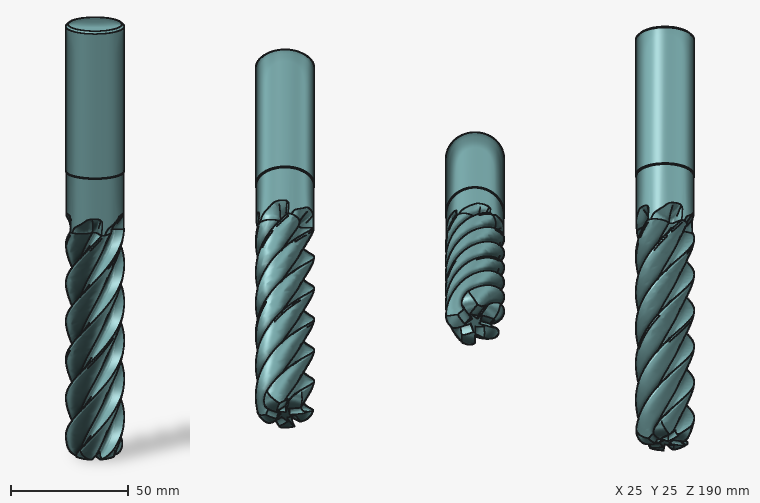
import cadquery as cq
import math

total_length = 190.0
cutting_diameter = 25.0
shank_diameter = 25.0
neck_diameter = 24.5
cutting_length = 100.0
neck_top_z = 125.0
neck_shoulder_height = 0.5
top_chamfer = 1.0
corner_radius = 6.0

tooth_count = 5
helix_angle = 43.0
first_edge_angle = 36.0
runout_length = 7.5
runout_lift = 5.8
runout_twist = 4.0
runout_section_count = 4

margin_end_radius = 12.3
margin_end_angle = 6.0
back_mid_radius = 10.6
back_mid_angle = 25.5
root_start_radius = 7.0
root_start_angle = 50.0
root_mid_radius = 6.95
root_mid_angle = 58.0
rake_start_radius = 8.7
rake_start_angle = 67.0

gash_depth = 3.5
gash_width = 4.0
gash_inner_radius = 2.0

cutting_radius = cutting_diameter / 2
shank_radius = shank_diameter / 2
neck_radius = neck_diameter / 2
pitch_angle = 360.0 / tooth_count
flute_lead = math.pi * cutting_diameter / math.tan(math.radians(helix_angle))
cutting_twist = 360.0 * cutting_length / flute_lead


def polar(radius, angle):
    """Point at a radius and an angle in degrees."""
    return (radius * math.cos(math.radians(angle)), radius * math.sin(math.radians(angle)))


def add_tooth_section(work, start_angle, lift=0.0):
    """Closed outline of all teeth; lift makes the flutes shallower, up to the cutting radius."""

    def point(radius, angle):
        return polar(min(radius + lift, cutting_radius), angle)

    work = work.moveTo(*point(cutting_radius, start_angle))
    for tooth in range(tooth_count):
        edge = start_angle + tooth * pitch_angle
        work = (
            work.lineTo(*point(margin_end_radius, edge + margin_end_angle))
            .threePointArc(
                point(back_mid_radius, edge + back_mid_angle),
                point(root_start_radius, edge + root_start_angle),
            )
            .threePointArc(
                point(root_mid_radius, edge + root_mid_angle),
                point(rake_start_radius, edge + rake_start_angle),
            )
            .lineTo(*point(cutting_radius, edge + pitch_angle))
        )
    return work.close()


def revolve_about_z(profile):
    return profile.close().revolve(360, (0, 0), (0, 1))


def make_gash(edge_angle):
    """Wedge with its upright face along the radial cutting edge."""
    return (
        cq.Workplane("YZ", origin=(gash_inner_radius, 0, 0))
        .lineTo(0, gash_depth)
        .lineTo(-gash_width, 0)
        .close()
        .extrude(cutting_radius - gash_inner_radius)
        .rotate((0, 0, 0), (0, 0, 1), edge_angle)
    )


def make_cutter():
    """Fluted cutting part with rounded corners and end gashes."""
    envelope = revolve_about_z(
        cq.Workplane("YZ")
        .lineTo(-(cutting_radius - corner_radius), 0)
        .radiusArc((-cutting_radius, corner_radius), corner_radius)
        .lineTo(-cutting_radius, cutting_length)
        .lineTo(0, cutting_length)
    )
    teeth = add_tooth_section(cq.Workplane("XY"), first_edge_angle)
    cutter = teeth.twistExtrude(cutting_length, cutting_twist).intersect(envelope)
    for tooth in range(tooth_count):
        cutter = cutter.cut(make_gash(first_edge_angle + tooth * pitch_angle))
    return cutter


def make_runout_core():
    """Slightly twisted bar whose flutes get shallower along a parabola until they fade out."""
    section_gap = runout_length / (runout_section_count - 1)
    work = cq.Workplane("XY", origin=(0, 0, cutting_length))
    for index in range(runout_section_count):
        if index > 0:
            work = work.workplane(offset=section_gap)
        rise = index / (runout_section_count - 1)
        edge_angle = first_edge_angle + cutting_twist + runout_twist * rise
        work = add_tooth_section(work, edge_angle, runout_lift * rise**2)
    return work.loft()


def make_shank():
    """Shank and neck, with the flutes running out in the bottom of the neck."""
    bar = revolve_about_z(
        cq.Workplane("YZ")
        .moveTo(0, cutting_length)
        .lineTo(-neck_radius, cutting_length)
        .lineTo(-neck_radius, neck_top_z)
        .lineTo(-shank_radius, neck_top_z + neck_shoulder_height)
        .lineTo(-shank_radius, total_length - top_chamfer)
        .lineTo(-(shank_radius - top_chamfer), total_length)
        .lineTo(0, total_length)
    )
    disc = cq.Workplane("XY", origin=(0, 0, cutting_length)).circle(shank_diameter).extrude(runout_length)
    flutes = disc.cut(make_runout_core())
    return bar.cut(flutes)


cutter = make_cutter()
shank = make_shank()
result = cq.Compound.makeCompound([cutter.val(), shank.val()])